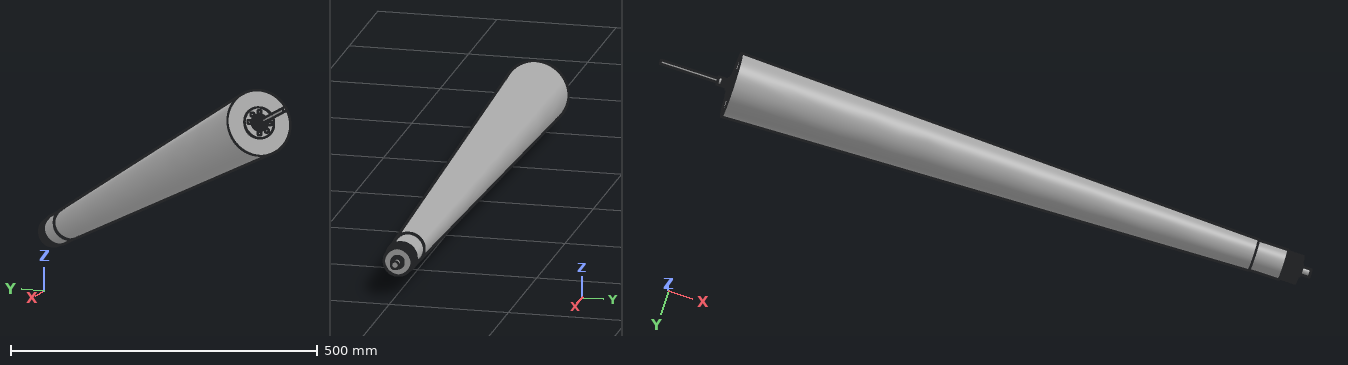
import cadquery as cq
import math

total_length = 1118.0
hub_start = 98.0
thread_start = 104.0
hub_base_start = 115.0
hub_base_step = 117.0
flange_start = 120.0
body_start = 122.0
taper_end = 1021.0
body_end = 1072.0
cap_end = 1099.0
shoulder_end = 1102.0

rod_radius = 3.0
hub_radius = 7.0
hub_base_small_radius = 10.0
hub_base_large_radius = 13.0
flange_radius = 26.0
body_large_radius = 55.0
body_small_radius = 27.0
sleeve_radius = 26.0
cap_radius = 23.0
shoulder_radius = 10.0
stub_radius = 7.0

groove_depth = 1.0
cap_groove_count = 4
hub_groove_count = 3

bolt_step = 45
open_angles = (135, 315)
bolt_angles = [angle for angle in range(0, 360, bolt_step) if angle not in open_angles]
bolt_circle_radius = 18.0
bolt_head_radius = 3.0
bolt_head_height = 1.0


def cylinder(start, end, radius):
    """Solid cylinder on the X axis between two stations."""
    return cq.Workplane("YZ", origin=(start, 0, 0)).circle(radius).extrude(end - start)


def grooved_cylinder(start, end, radius, groove_count):
    """Cylinder with evenly spaced square grooves, as wide as the lands between them."""
    land = (end - start) / (2 * groove_count + 1)
    solid = cylinder(start, end, radius - groove_depth)
    for index in range(groove_count + 1):
        land_start = start + 2 * index * land
        solid = solid.union(cylinder(land_start, land_start + land, radius))
    return solid


def tapered_body():
    """Long cone that ends in a short straight sleeve."""
    cone = (
        cq.Workplane("XY")
        .moveTo(body_start, 0)
        .lineTo(body_start, body_large_radius)
        .lineTo(taper_end, body_small_radius)
        .lineTo(taper_end, 0)
        .close()
        .revolve(360, (0, 0, 0), (1, 0, 0))
    )
    return cone.union(cylinder(taper_end, body_end, sleeve_radius))


def rod_end():
    """Thin rod, grooved hub, stepped hub base and flange in front of the large end."""
    return (
        cylinder(0, hub_start, rod_radius)
        .union(cylinder(hub_start, thread_start, hub_radius))
        .union(grooved_cylinder(thread_start, hub_base_start, hub_radius, hub_groove_count))
        .union(cylinder(hub_base_start, hub_base_step, hub_base_small_radius))
        .union(cylinder(hub_base_step, flange_start, hub_base_large_radius))
        .union(cylinder(flange_start, body_start, flange_radius))
    )


def cap_end_parts():
    """Grooved cap, shoulder and stub behind the small end."""
    return (
        grooved_cylinder(body_end, cap_end, cap_radius, cap_groove_count)
        .union(cylinder(cap_end, shoulder_end, shoulder_radius))
        .union(cylinder(shoulder_end, total_length, stub_radius))
    )


def bolt_head(angle):
    """Bolt head on the flange; the angle runs from +Y towards +Z."""
    y = bolt_circle_radius * math.cos(math.radians(angle))
    z = bolt_circle_radius * math.sin(math.radians(angle))
    head_start = flange_start - bolt_head_height
    return cylinder(head_start, flange_start, bolt_head_radius).translate((0, y, z))


result = tapered_body().union(rod_end()).union(cap_end_parts())
for bolt_angle in bolt_angles:
    result = result.union(bolt_head(bolt_angle))